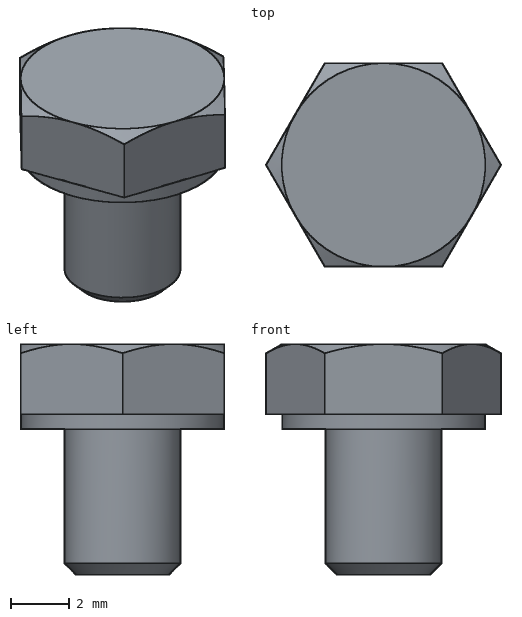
import cadquery as cq
import math

across_corners = 8.08
across_flats = across_corners * math.cos(math.radians(30))
head_height = 2.415
corner_chamfer_angle = 30.0

collar_diameter = 6.98
collar_height = 0.51

shank_diameter = 4.0
shank_length = 5.0
tip_chamfer = 0.395

collar_base = shank_length
head_base = collar_base + collar_height
head_top = head_base + head_height


def make_head():
    """Hexagonal prism whose top corners are cut by a cone touching the flats."""
    prism = (
        cq.Workplane("XY")
        .workplane(offset=head_base)
        .polygon(6, across_corners)
        .extrude(head_height)
    )
    top_radius = across_flats / 2
    base_radius = top_radius + head_height / math.tan(math.radians(corner_chamfer_angle))
    cone = (
        cq.Workplane("XZ")
        .moveTo(0, head_base)
        .lineTo(base_radius, head_base)
        .lineTo(top_radius, head_top)
        .lineTo(0, head_top)
        .close()
        .revolve(360, (0, 0), (0, 1))
    )
    return prism.intersect(cone)


def make_collar():
    return (
        cq.Workplane("XY")
        .workplane(offset=collar_base)
        .circle(collar_diameter / 2)
        .extrude(collar_height)
    )


def make_shank():
    return (
        cq.Workplane("XY")
        .circle(shank_diameter / 2)
        .extrude(shank_length)
        .faces("<Z")
        .chamfer(tip_chamfer)
    )


result = make_head().union(make_collar()).union(make_shank())